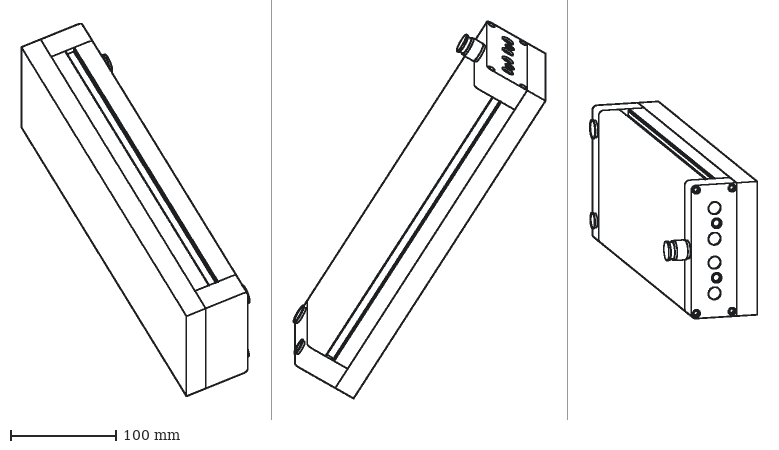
import cadquery as cq

LENGTH = 352.0
DEPTH = 86.2
HEIGHT = 130.0
MID_HEIGHT = HEIGHT / 2

PAD_THICKNESS = 20.5
HOUSING_BACK = 65.0
HOUSING_DEPTH = HOUSING_BACK - PAD_THICKNESS
BACK_EDGE_RADIUS = 5.0
CAP_LENGTH = 23.0

SLOT_Y = 40.0
SLOT_MOUTH_WIDTH = 9.5
SLOT_WIDTH = 8.0
SLOT_MOUTH_DEPTH = 2.0
SLOT_DEPTH = 6.5

SCREW_YS = (24.5, 60.0)
SCREW_EDGE_GAP = 5.0
SCREW_HEAD_DIAMETER = 7.0
SCREW_HEAD_DEPTH = 2.0
SCREW_HOLE_DIAMETER = 4.2
SCREW_HOLE_DEPTH = 3.5

PORT_Y = 42.0
PORT_DIAMETER = 12.0
PORT_DEPTH = 2.0
PORT_OFFSETS = (11.5, 41.5)

SOCKET_Y = 39.8
SOCKET_OFFSET = (PORT_OFFSETS[0] + PORT_OFFSETS[1]) / 2
SOCKET_MOUTH_DIAMETER = 9.5
SOCKET_MOUTH_DEPTH = 1.5
SOCKET_DIAMETER = 6.7
SOCKET_DEPTH = 2.8

CONNECTOR_X = 11.5
CONNECTOR_NECK_DIAMETER = 17.5
CONNECTOR_NECK_END = 2.5
CONNECTOR_SLEEVE_DIAMETER = 19.0
CONNECTOR_SLEEVE_END = 13.0
CONNECTOR_RING_DIAMETER = 18.3
CONNECTOR_RING_END = 15.0
CONNECTOR_GROOVE_DIAMETER = 16.2
CONNECTOR_GROOVE_END = 19.0
CONNECTOR_END = DEPTH - HOUSING_BACK

PLUG_X = LENGTH - 11.5
PLUG_HEIGHT = 3.0
PLUG_FLANGE_THICKNESS = 0.7
PLUG_NECK_REDUCTION = 1.8
UPPER_PLUG_DIAMETER = 18.3
UPPER_PLUG_Z = HEIGHT - 20.5
LOWER_PLUG_DIAMETER = 15.5
LOWER_PLUG_Z = 20.5


def housing_block(x_start, x_end):
    """Stretch of the housing section, with the back edges rounded."""
    return (
        cq.Workplane("XY")
        .box(x_end - x_start, HOUSING_DEPTH, HEIGHT, centered=False)
        .translate((x_start, PAD_THICKNESS, 0))
        .edges("|X and >Y")
        .fillet(BACK_EDGE_RADIUS)
    )


def side_recess(y, z, diameter, depth):
    """Round tool that enters the left cap from its outer face."""
    return cq.Workplane("YZ", origin=(0, y, z)).circle(diameter / 2).extrude(depth)


def back_cylinder(x, z, diameter, start, end):
    """Cylinder along +Y, measured from the back face of the housing."""
    plane = cq.Plane(origin=(x, HOUSING_BACK + start, z), xDir=(1, 0, 0), normal=(0, 1, 0))
    return cq.Workplane(plane).circle(diameter / 2).extrude(end - start)


def make_pad():
    return cq.Workplane("XY").box(LENGTH, PAD_THICKNESS, HEIGHT, centered=False)


def make_profile():
    profile = housing_block(CAP_LENGTH, LENGTH - CAP_LENGTH)
    slot_steps = ((SLOT_MOUTH_WIDTH, SLOT_MOUTH_DEPTH), (SLOT_WIDTH, SLOT_DEPTH))
    for face_z in (0, HEIGHT):
        for width, depth in slot_steps:
            cutter = cq.Workplane("XY").box(LENGTH, width, 2 * depth)
            profile = profile.cut(cutter.translate((LENGTH / 2, SLOT_Y, face_z)))
    return profile


def cut_screw_recesses(cap):
    for y in SCREW_YS:
        for z in (SCREW_EDGE_GAP, HEIGHT - SCREW_EDGE_GAP):
            cap = cap.cut(side_recess(y, z, SCREW_HEAD_DIAMETER, SCREW_HEAD_DEPTH))
            cap = cap.cut(side_recess(y, z, SCREW_HOLE_DIAMETER, SCREW_HOLE_DEPTH))
    return cap


def cut_ports_and_sockets(cap):
    for side in (-1, 1):
        for offset in PORT_OFFSETS:
            cap = cap.cut(side_recess(PORT_Y, MID_HEIGHT + side * offset, PORT_DIAMETER, PORT_DEPTH))
        socket_z = MID_HEIGHT + side * SOCKET_OFFSET
        cap = cap.cut(side_recess(SOCKET_Y, socket_z, SOCKET_MOUTH_DIAMETER, SOCKET_MOUTH_DEPTH))
        cap = cap.cut(side_recess(SOCKET_Y, socket_z, SOCKET_DIAMETER, SOCKET_DEPTH))
    return cap


def add_connector(cap):
    sections = (
        (CONNECTOR_NECK_DIAMETER, CONNECTOR_NECK_END),
        (CONNECTOR_SLEEVE_DIAMETER, CONNECTOR_SLEEVE_END),
        (CONNECTOR_RING_DIAMETER, CONNECTOR_RING_END),
        (CONNECTOR_GROOVE_DIAMETER, CONNECTOR_GROOVE_END),
        (CONNECTOR_RING_DIAMETER, CONNECTOR_END),
    )
    start = 0
    for diameter, end in sections:
        cap = cap.union(back_cylinder(CONNECTOR_X, MID_HEIGHT, diameter, start, end))
        start = end
    return cap


def add_plug(cap, z, diameter):
    flange_start = PLUG_HEIGHT - PLUG_FLANGE_THICKNESS
    cap = cap.union(back_cylinder(PLUG_X, z, diameter - PLUG_NECK_REDUCTION, 0, flange_start))
    return cap.union(back_cylinder(PLUG_X, z, diameter, flange_start, PLUG_HEIGHT))


def make_left_cap():
    cap = housing_block(0, CAP_LENGTH)
    cap = cut_screw_recesses(cap)
    cap = cut_ports_and_sockets(cap)
    return add_connector(cap)


def make_right_cap():
    cap = housing_block(LENGTH - CAP_LENGTH, LENGTH)
    cap = add_plug(cap, UPPER_PLUG_Z, UPPER_PLUG_DIAMETER)
    return add_plug(cap, LOWER_PLUG_Z, LOWER_PLUG_DIAMETER)


pad = make_pad()
profile = make_profile()
left_cap = make_left_cap()
right_cap = make_right_cap()

result = cq.Compound.makeCompound([pad.val(), profile.val(), left_cap.val(), right_cap.val()])